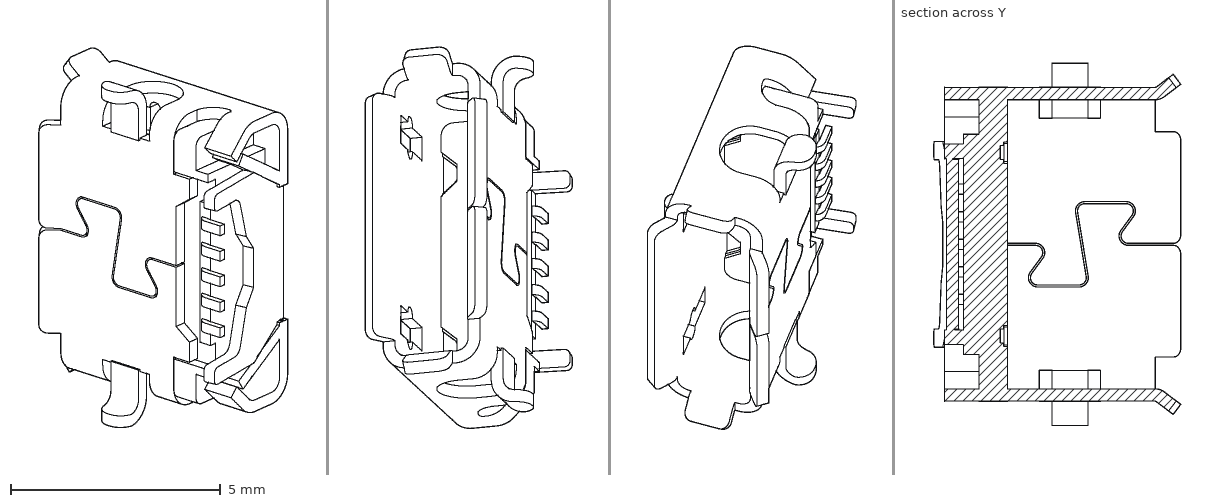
import cadquery as cq
import math


sheet = 0.3
shell_length = 5.03
shell_depth = 2.44
shell_height = 7.5
corner_radius = 0.6
outer_y = shell_depth / 2
outer_z = shell_height / 2
inner_y = outer_y - sheet
inner_z = outer_z - sheet
margin = 0.09

front_wall_end = 3.61
prong_end = 4.02
prong_inner_z = 1.84
prong_outer_z = 2.36
prong_slope_z = 1.55
corner_end = 3.53
flange_start = 4.21
relief_radius = 0.57
relief_small_radius = 0.09
relief_top_y = 0.15
corner_cut_y = -0.36
trim_z = inner_z - corner_radius
flange_straight = 0.65
flange_angle = 45.0

lip_reach = 0.605
lip_angle = math.radians(37)
lip_bend = 0.035
lip_corner = 0.22
back_lip_width = 6.09
side_lip_width = 1.11
side_lip_y = 0.03
front_lip_outer = 2.69
seam_gap = 0.04

leg_x = 2.04
leg_width = 0.865
leg_root_z = 2.96
leg_jog = 0.05
leg_drop = 0.64
leg_span = 8.65
leg_bend = 0.29
leg_tip_radius = 0.4
window_width = 1.45
window_arc_y = -0.225
window_root_z = 3.01

seam_x = 1.76
seam_z = 0.995
seam_radius = 0.2
seam_foot = 0.72
seam_outer = 1.445
seam_inner = 0.165

latch_start = 0.45
latch_end = 2.08
latch_low = 2.03
latch_high = 2.73
curl_start = 0.46
curl_peak_x = 0.77
curl_tip_x = 0.93
curl_rise = 0.25
curl_tip_rise = 0.16
curl_end_x = 0.82
curl_end_rise = 0.22
ear_x = 1.15
ear_radius = 0.17
latch_rear_width = 0.59

housing_rear = 4.585
housing_rear_half = 2.63
block_y = -outer_y + 0.02
block_inner_z = 2.41
block_radius = 0.22
pad_start = 4.265
pad_half = 1.82
pad_y = -inner_y - 0.19
recess_z = 2.19
recess_rise = 0.4
recess_base = 1.11
recess_top = 0.42
recess_depth = 0.09
recess_step = 0.09
recess_inset = 0.08

contact_count = 5
contact_pitch = 0.66
contact_width = 0.25
contact_sheet = 0.16
contact_start = 4.32
contact_y = -outer_y - 0.06
contact_bend = 0.25

flap_x = 4.645
flap_tilt = 7.2
flap_top_y = outer_y - 0.04
flap_neck_half = 1.99
flap_open_half = 1.75
post_outer_z = 2.46
post_inner_z = 2.015
post_radius = 0.14
shoulder_y = -0.12
arch_foot_y = -0.78
arch_knee_y = -0.46
arch_top_y = -0.14
arch_knee_z = 0.92
arch_top_half = 0.5
arch_radius = 0.26
lowest_y = -outer_y - leg_drop

stay_tip_y = -0.6
stay_tip_z = 2.78
stay_root_z = 1.82


def box(x0, x1, y0, y1, z0, z1):
    return cq.Workplane("XY").box(x1 - x0, y1 - y0, z1 - z0, centered=False).translate((x0, y0, z0))


def both_ends(body):
    """The body together with its mirror image across Z = 0."""
    return body.union(body.mirror("XY"))


def prism_along_x(points, x0, x1):
    """Prism with the given (Y, Z) outline between two X positions."""
    return cq.Workplane("YZ").polyline(points).close().extrude(x1 - x0).translate((x0, 0, 0))


def prism_along_y(points, y0, y1):
    """Prism with the given (X, Z) outline between two Y positions."""
    return cq.Workplane("XZ").polyline(points).close().extrude(y0 - y1).translate((0, y0, 0))


def make_tube():
    outer = cq.Workplane("YZ").rect(shell_depth, shell_height).extrude(shell_length)
    outer = outer.edges("|X").fillet(corner_radius)
    inner = cq.Workplane("YZ").rect(2 * inner_y, 2 * inner_z).extrude(shell_length)
    inner = inner.edges("|X").fillet(corner_radius - sheet)
    return outer.cut(inner)


def make_rear_trim():
    """Material taken off the rear of the tube to leave the stepped rear edge."""
    far_z = outer_z + margin
    half_outline = [
        (front_wall_end, 0),
        (front_wall_end, prong_slope_z),
        (prong_end, prong_inner_z),
        (prong_end, prong_outer_z),
        (corner_end, prong_outer_z),
        (corner_end, trim_z),
        (shell_length + margin, trim_z),
        (shell_length + margin, 0),
    ]
    front_wall = prism_along_y(half_outline, -outer_y - margin, -inner_y)
    corner = box(corner_end, shell_length + margin, -outer_y - margin, corner_cut_y, trim_z, far_z)
    flange_room = box(flange_start, shell_length + margin, -outer_y - margin, 0, trim_z, far_z)
    relief = box(corner_end, flange_start, -outer_y, relief_top_y, inner_z, far_z)
    relief = relief.edges("|Z and >Y and <X").fillet(relief_radius)
    relief = relief.edges("|Z and >Y and >X").fillet(relief_small_radius)
    return both_ends(front_wall.union(corner).union(flange_room).union(relief))


def make_flange():
    """Side wall bent inwards behind the housing."""
    bend_z = outer_z - corner_radius
    inner_radius = corner_radius - sheet

    def on_bend(radius, degrees, straight):
        angle = math.radians(degrees)
        y = -radius * math.sin(angle) - straight * math.cos(angle)
        z = bend_z + radius * math.cos(angle) - straight * math.sin(angle)
        return (y, z)

    profile = (
        cq.Workplane("YZ")
        .moveTo(0, outer_z)
        .threePointArc(on_bend(corner_radius, flange_angle / 2, 0), on_bend(corner_radius, flange_angle, 0))
        .lineTo(*on_bend(corner_radius, flange_angle, flange_straight))
        .lineTo(*on_bend(inner_radius, flange_angle, flange_straight))
        .lineTo(*on_bend(inner_radius, flange_angle, 0))
        .threePointArc(on_bend(inner_radius, flange_angle / 2, 0), (0, inner_z))
        .close()
    )
    return profile.extrude(shell_length - flange_start).translate((flange_start, 0, 0))


def make_lip(width):
    """Lip flared towards +Y from a wall whose outer face is Y = 0, centred on Z = 0."""
    def on_bend(radius, angle):
        return (-radius * math.sin(angle), lip_bend - radius * math.cos(angle))

    inner_bend = lip_bend + sheet
    bend_end = on_bend(lip_bend, lip_angle)
    inner_bend_end = on_bend(inner_bend, lip_angle)
    tip_x = -lip_reach + sheet * math.sin(lip_angle)
    tip_y = bend_end[1] + (bend_end[0] - tip_x) * math.tan(lip_angle)
    inner_tip_y = tip_y - sheet * math.cos(lip_angle)
    lip = (
        cq.Workplane("XY")
        .threePointArc(on_bend(lip_bend, lip_angle / 2), bend_end)
        .lineTo(tip_x, tip_y)
        .lineTo(-lip_reach, inner_tip_y)
        .lineTo(*inner_bend_end)
        .threePointArc(on_bend(inner_bend, lip_angle / 2), (0, -sheet))
        .close()
        .extrude(width)
        .translate((0, 0, -width / 2))
    )
    middle = ((tip_x - lip_reach) / 2, (tip_y + inner_tip_y) / 2, 0)
    for end in (-1, 1):
        corner = cq.NearestToPointSelector((middle[0], middle[1], end * width / 2))
        lip = lip.edges(corner).fillet(lip_corner)
    return lip


def make_lips():
    back = make_lip(back_lip_width).translate((0, outer_y, 0))
    side = make_lip(side_lip_width).rotate((0, 0, 0), (1, 0, 0), 90).translate((0, side_lip_y, outer_z))
    half_width = front_lip_outer - seam_gap / 2
    front = make_lip(half_width).mirror("XZ")
    front = front.translate((0, -outer_y, front_lip_outer - half_width / 2))
    return both_ends(side.union(front)).union(back)


def make_windows():
    """Arched openings in the side walls that run into the front wall."""
    radius = window_width / 2
    x0 = leg_x - radius
    x1 = leg_x + radius
    arch = cq.Workplane("XY").center(leg_x, window_arc_y).circle(radius).extrude(sheet + margin)
    arch = arch.translate((0, 0, inner_z - margin / 2))
    side = box(x0, x1, -outer_y - margin, window_arc_y, trim_z + sheet, outer_z + margin)
    front = box(x0, x1, -outer_y - margin, -inner_y, window_root_z, outer_z + margin)
    return both_ends(arch.union(side).union(front))


def make_legs():
    """Legs that stand off the front wall and bend forward into rounded feet."""
    face_y = -outer_y - leg_jog
    top_z = leg_span / 2
    outer_bend = leg_bend + sheet
    leg = (
        cq.Workplane("YZ")
        .moveTo(face_y, leg_root_z)
        .lineTo(face_y, top_z - outer_bend)
        .radiusArc((face_y - leg_bend, top_z - sheet), -leg_bend)
        .lineTo(lowest_y, top_z - sheet)
        .lineTo(lowest_y, top_z)
        .lineTo(face_y - leg_bend, top_z)
        .radiusArc((face_y + sheet, top_z - outer_bend), outer_bend)
        .lineTo(face_y + sheet, leg_root_z)
        .close()
        .extrude(leg_width)
        .translate((leg_x - leg_width / 2, 0, 0))
    )
    leg = leg.faces("<Y").edges("|Z").fillet(leg_tip_radius)
    return both_ends(leg)


def rounded_path(points, radius):
    """Open path in the XZ plane through the points, every inner corner rounded."""
    path = cq.Workplane("XZ").moveTo(*points[0])
    for before, corner, after in zip(points, points[1:], points[2:]):
        corner = cq.Vector(*corner)
        back = (cq.Vector(*before) - corner).normalized()
        ahead = (cq.Vector(*after) - corner).normalized()
        half_angle = back.getAngle(ahead) / 2
        setback = radius / math.tan(half_angle)
        middle = corner + (back + ahead).normalized() * (radius / math.sin(half_angle) - radius)
        start = corner + back * setback
        end = corner + ahead * setback
        path = path.lineTo(start.x, start.y)
        path = path.threePointArc((middle.x, middle.y), (end.x, end.y))
    return path.lineTo(*points[-1])


def make_seam():
    """Narrow S-shaped gap where the two edges of the sheet lock together."""
    points = [
        (-margin, 0),
        (seam_x - seam_foot, 0),
        (seam_x - seam_outer, seam_z),
        (seam_x + seam_inner, seam_z),
        (seam_x - seam_inner, -seam_z),
        (seam_x + seam_outer, -seam_z),
        (seam_x + seam_foot, 0),
        (front_wall_end + margin, 0),
    ]
    path = rounded_path(points, seam_radius)
    gap = cq.Workplane("YZ", origin=(points[0][0], 0, 0)).rect(2 * sheet, seam_gap).sweep(path)
    return gap.translate((0, -outer_y, 0))


def make_latch_openings():
    """Slots in the back wall with a round ear on each side and a narrower rear end."""
    z_mid = (latch_low + latch_high) / 2
    rear_half = latch_rear_width / 2

    front = box(latch_start, ear_x, inner_y - margin, outer_y + margin, latch_low, latch_high)
    rear = box(ear_x, latch_end, inner_y - margin, outer_y + margin, z_mid - rear_half, z_mid + rear_half)
    ears = cq.Workplane("XZ").pushPoints([(ear_x, latch_low), (ear_x, latch_high)]).circle(ear_radius)
    ears = ears.extrude(-sheet - 2 * margin).translate((0, inner_y - margin, 0))
    return both_ends(front.union(rear).union(ears))


def make_latches():
    """Tabs that curl outwards from the front end of each latch slot."""
    curl = (
        cq.Workplane("XY")
        .moveTo(curl_start, outer_y)
        .threePointArc((curl_peak_x, outer_y + curl_rise), (curl_tip_x, outer_y + curl_tip_rise))
        .lineTo(curl_end_x, inner_y + curl_end_rise)
        .lineTo(latch_start, inner_y)
        .lineTo(latch_start, outer_y)
        .close()
        .extrude(latch_high - latch_low)
        .translate((0, 0, latch_low))
    )
    return both_ends(curl)


def make_shell():
    shell = make_tube().cut(make_rear_trim()).union(both_ends(make_flange()))
    shell = shell.cut(make_windows()).cut(make_seam()).cut(make_latch_openings())
    flap_slot = box(housing_rear, shell_length, inner_y, outer_y, -flap_open_half, flap_open_half)
    shell = shell.cut(flap_slot)
    return shell.union(make_lips()).union(make_legs()).union(make_latches())


def make_housing():
    """Plug filling the rear of the shell, with side blocks and a contact pad on its front."""
    body = box(corner_end, flange_start, -inner_y, inner_y, -inner_z, inner_z)
    rear = box(flange_start, housing_rear, -inner_y, inner_y, -housing_rear_half, housing_rear_half)
    block = box(corner_end, flange_start, block_y, 0, block_inner_z, inner_z)
    rear_block = box(flange_start, housing_rear, block_y, 0, block_inner_z, housing_rear_half)
    pad = box(pad_start, housing_rear, pad_y, 0, -pad_half, pad_half)
    body = body.union(rear).union(both_ends(block.union(rear_block))).union(pad)
    envelope = box(corner_end, housing_rear, block_y, inner_y, -inner_z, inner_z)
    envelope = envelope.edges("|X and <Y").fillet(block_radius)
    envelope = envelope.edges("|X and >Y").fillet(corner_radius - sheet)
    return body.intersect(envelope).cut(make_recesses())


def make_recesses():
    """Stepped trapezoid recesses in the housing's front face, against the back wall."""
    foot = recess_base / 2
    shoulder = recess_top / 2
    outline = [
        (inner_y, recess_z - foot),
        (inner_y - recess_rise, recess_z - shoulder),
        (inner_y - recess_rise, recess_z + shoulder),
        (inner_y, recess_z + foot),
    ]
    shallow = prism_along_x(outline, corner_end, corner_end + recess_depth)
    inner_shoulder_y = inner_y - recess_rise + recess_inset
    deep = (
        cq.Workplane("YZ")
        .moveTo(inner_y, recess_z - foot + recess_inset)
        .lineTo(inner_shoulder_y, recess_z - shoulder)
        .threePointArc((inner_y - recess_rise, recess_z), (inner_shoulder_y, recess_z + shoulder))
        .lineTo(inner_y, recess_z + foot - recess_inset)
        .close()
        .extrude(recess_depth + recess_step)
        .translate((corner_end, 0, 0))
    )
    return both_ends(shallow.union(deep))


def make_contacts():
    """Row of contacts that leave the housing and bend to the rear."""
    contact = (
        cq.Workplane("XY")
        .moveTo(contact_start, -inner_y)
        .lineTo(contact_start, contact_y + contact_bend)
        .radiusArc((contact_start + contact_bend, contact_y), -contact_bend)
        .lineTo(shell_length, contact_y)
        .lineTo(shell_length, contact_y + contact_sheet)
        .lineTo(contact_start + contact_bend, contact_y + contact_sheet)
        .radiusArc((contact_start + contact_sheet, contact_y + contact_bend), contact_bend - contact_sheet)
        .lineTo(contact_start + contact_sheet, -inner_y)
        .close()
        .extrude(contact_width)
        .translate((0, 0, -contact_width / 2))
    )
    row = cq.Workplane("XY")
    for index in range(contact_count):
        offset = (index - (contact_count - 1) / 2) * contact_pitch
        row = row.add(contact.translate((0, 0, offset)))
    return row.combine()


def make_flap():
    """Tilted rear flap: a neck at the back wall, an arch and two posts."""
    half = [
        (flap_top_y, 0),
        (flap_top_y, flap_neck_half),
        (inner_y - sheet, flap_neck_half),
        (shoulder_y, post_outer_z),
        (lowest_y, post_outer_z),
        (lowest_y, post_inner_z),
        (arch_foot_y, post_inner_z),
        (arch_knee_y, arch_knee_z),
        (arch_top_y, arch_top_half),
        (arch_top_y, 0),
    ]
    flap = prism_along_x(half, flap_x, flap_x + sheet)
    flap = flap.faces("<Y").edges("|X").fillet(post_radius)
    arch_foot = cq.NearestToPointSelector((flap_x + sheet / 2, arch_foot_y, post_inner_z))
    flap = flap.edges(arch_foot).fillet(arch_radius)
    return both_ends(flap).rotate((flap_x, inner_y, 0), (flap_x, inner_y, 1), flap_tilt)


def make_stays():
    """Slanting sheet tabs between the back wall and the side flanges."""
    run_y = inner_y - stay_tip_y
    run_z = stay_tip_z - stay_root_z
    length = math.hypot(run_y, run_z)
    step_y = sheet * run_z / length
    step_z = sheet * run_y / length
    root_y = inner_y + sheet / 2
    root_z = stay_root_z - (root_y - inner_y) * run_z / run_y
    points = [
        (stay_tip_y, stay_tip_z),
        (root_y, root_z),
        (root_y, root_z + step_z + step_y * run_z / run_y),
        (stay_tip_y + step_y, stay_tip_z + step_z),
    ]
    return both_ends(prism_along_x(points, flange_start, shell_length))


result = make_shell().union(make_housing()).union(make_contacts()).union(make_flap()).union(make_stays())